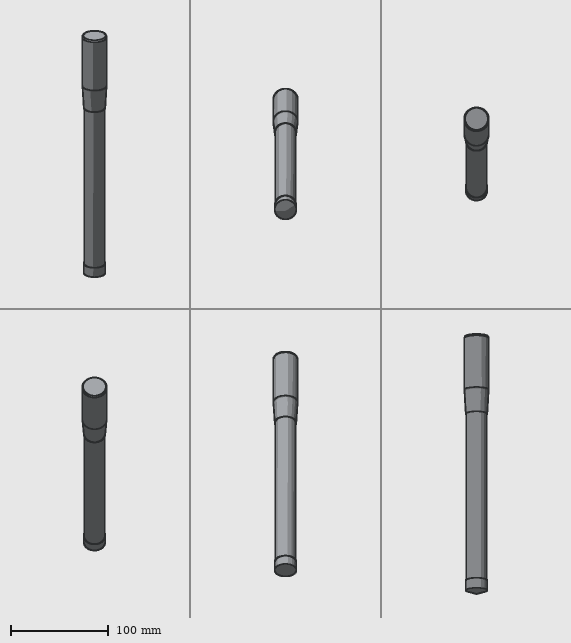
import cadquery as cq

total_length = 271.5
tip_height = 4.0
collar_top = 14.7
handle_bottom = 190.0
taper_top = 214.5
grip_bottom = 215.5

grip_radius = 12.8
top_chamfer_height = 2.0
top_chamfer_width = 1.0
taper_top_radius = 12.5
taper_bottom_radius = 11.0
shaft_radius = 10.5
collar_radius = 11.0


def revolve_profile(points):
    """Revolve a closed (radius, height) outline around the Z axis."""
    return cq.Workplane("XZ").polyline(points).close().revolve(360, (0, 0), (0, 1))


def make_handle():
    """Solid grip with a chamfered top and a tapered neck above the shaft."""
    return revolve_profile([
        (0, handle_bottom),
        (taper_bottom_radius, handle_bottom),
        (taper_top_radius, taper_top),
        (grip_radius, grip_bottom),
        (grip_radius, total_length - top_chamfer_height),
        (grip_radius - top_chamfer_width, total_length),
        (0, total_length),
    ])


def make_shaft():
    """Round shaft with a slightly wider collar and a conical tip."""
    return revolve_profile([
        (0, 0),
        (collar_radius, tip_height),
        (collar_radius, collar_top),
        (shaft_radius, collar_top),
        (shaft_radius, handle_bottom),
        (0, handle_bottom),
    ])


handle = make_handle()
shaft = make_shaft()

result = cq.Compound.makeCompound([handle.val(), shaft.val()])